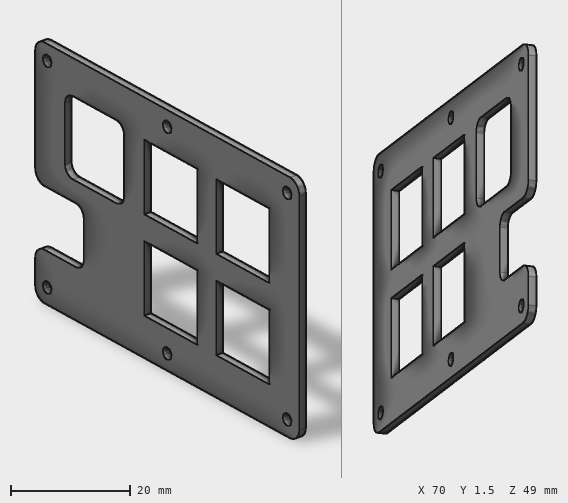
import cadquery as cq

length = 70.0
height = 49.0
thickness = 1.5
corner_radius = 2.5
inner_radius = 2.0

screw_diameter = 2.25
screw_inset = 3.2

key_size = 14.0
key_pitch = 19.05
key_grid_x = 10.5

window_size = 15.6
window_x = -19.25
window_z = key_pitch / 2

notch_depth = 12.9
notch_height = 12.0
notch_z = -8.5


def opening(points, width, opening_height):
    """Rectangular cutter through the plate at each (x, z) point."""
    return (
        cq.Workplane("XZ")
        .pushPoints(points)
        .rect(width, opening_height)
        .extrude(thickness / 2, both=True)
    )


def plate_with_notch():
    """Plate whose outer corners and notch corners are all rounded."""
    left = -length / 2
    right = length / 2
    top = height / 2
    bottom = -height / 2
    notch_end = left + notch_depth
    notch_top = notch_z + notch_height / 2
    notch_bottom = notch_z - notch_height / 2
    outline = [
        (left, bottom),
        (right, bottom),
        (right, top),
        (left, top),
        (left, notch_top),
        (notch_end, notch_top),
        (notch_end, notch_bottom),
        (left, notch_bottom),
    ]
    plate = cq.Workplane("XZ").polyline(outline).close().extrude(thickness / 2, both=True)
    notch_corners = cq.selectors.BoxSelector(
        (notch_end - inner_radius, -thickness, bottom),
        (notch_end + inner_radius, thickness, top),
    )
    plate = plate.edges("|Y").edges(notch_corners).fillet(inner_radius)
    outer_corners = plate.edges("|Y and <X").add(plate.edges("|Y and >X"))
    return outer_corners.fillet(corner_radius)


def screw_holes():
    """Cutters for the two rows of three screw holes."""
    return (
        cq.Workplane("XZ")
        .rarray(length / 2 - screw_inset, height - 2 * screw_inset, 3, 2)
        .circle(screw_diameter / 2)
        .extrude(thickness / 2, both=True)
    )


key_centres = [
    (key_grid_x + side_x * key_pitch / 2, side_z * key_pitch / 2)
    for side_x in (-1, 1)
    for side_z in (-1, 1)
]
keys = opening(key_centres, key_size, key_size)
window = opening([(window_x, window_z)], window_size, window_size).edges("|Y").fillet(inner_radius)

result = plate_with_notch().cut(keys).cut(window).cut(screw_holes())